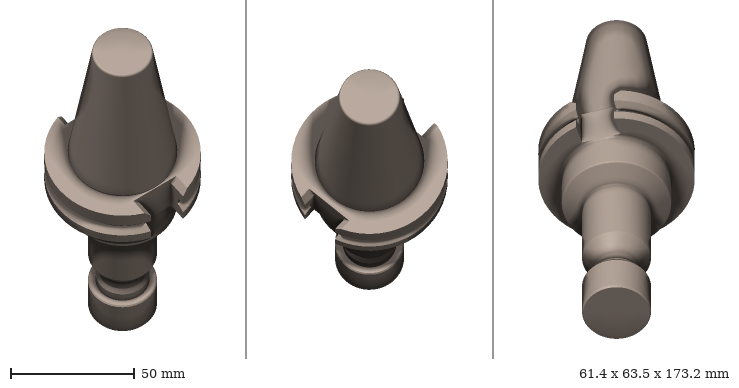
import cadquery as cq
import math

total_length = 173.25
gauge_line_z = 105.0
flange_bottom_z = 85.95
flange_top_z = 104.0

gauge_diameter = 44.45
taper_ratio = 7 / 24
taper_end_fillet = 1.0

flange_diameter = 63.5
neck_diameter = 43.85
flange_underside_fillet = 1.0
groove_center_z = 93.9
groove_mouth_width = 6.9
groove_wall_angle = 30.0
groove_root_width = 3.75
groove_root_diameter = 56.1

slot_width = 16.1
slot_chamfer = 2.7
left_slot_floor_x = 25.0
right_slot_floor_x = 22.3

body_diameter = 44.45
body_cone_bottom_z = 65.2
body_cone_angle = 30.0
body_cone_fillet = 1.0
shank_diameter = 28.0

relief_diameter = 19.5
relief_top_z = 27.75
relief_bottom_z = 24.0
relief_cone_angle = 30.0
relief_cone_fillet = 1.0
collar_diameter = 22.0
collar_top_z = 21.75
nut_diameter = 28.0
nut_height = 17.5
nut_chamfer_width = 0.5
nut_bottom_chamfer_height = 0.9
nut_top_chamfer_height = 0.5


def fillet_ring(solid, ring_radius, ring_z, fillet_radius):
    """Round the circular edge of the given radius and height."""
    margin = 0.01
    reach = ring_radius + margin
    ring = cq.selectors.BoxSelector(
        (-reach, -reach, ring_z - margin),
        (reach, reach, ring_z + margin),
        boundingbox=True,
    )
    return solid.edges(ring).fillet(fillet_radius)


def revolved_blank():
    """Whole turned shape, from its half profile in the XZ plane."""
    taper_end_radius = (gauge_diameter - taper_ratio * (total_length - gauge_line_z)) / 2

    flange_radius = flange_diameter / 2
    neck_radius = neck_diameter / 2
    groove_root_radius = groove_root_diameter / 2
    groove_root_half = groove_root_width / 2
    groove_mouth_half = groove_mouth_width / 2
    groove_step_radius = flange_radius - (
        (groove_mouth_half - groove_root_half) / math.tan(math.radians(groove_wall_angle))
    )

    body_radius = body_diameter / 2
    shank_radius = shank_diameter / 2
    relief_radius = relief_diameter / 2
    shank_bottom_z = relief_top_z + (
        (shank_radius - relief_radius) / math.tan(math.radians(relief_cone_angle))
    )
    body_bottom_z = body_cone_bottom_z + (
        (body_radius - shank_radius) * math.tan(math.radians(body_cone_angle))
    )
    nut_radius = nut_diameter / 2

    neck_bevel = (gauge_diameter - neck_diameter) / 2

    profile = [
        (0, 0),
        (nut_radius - nut_chamfer_width, 0),
        (nut_radius, nut_bottom_chamfer_height),
        (nut_radius, nut_height - nut_top_chamfer_height),
        (nut_radius - nut_chamfer_width, nut_height),
        (collar_diameter / 2, nut_height),
        (collar_diameter / 2, collar_top_z),
        (relief_radius, relief_bottom_z),
        (relief_radius, relief_top_z),
        (shank_radius, shank_bottom_z),
        (shank_radius, body_cone_bottom_z),
        (body_radius, body_bottom_z),
        (body_radius, flange_bottom_z),
        (flange_radius, flange_bottom_z),
        (flange_radius, groove_center_z - groove_mouth_half),
        (groove_step_radius, groove_center_z - groove_root_half),
        (groove_root_radius, groove_center_z - groove_root_half),
        (groove_root_radius, groove_center_z + groove_root_half),
        (groove_step_radius, groove_center_z + groove_root_half),
        (flange_radius, groove_center_z + groove_mouth_half),
        (flange_radius, flange_top_z),
        (neck_radius, flange_top_z),
        (neck_radius, gauge_line_z - neck_bevel),
        (gauge_diameter / 2, gauge_line_z),
        (taper_end_radius, total_length),
        (0, total_length),
    ]
    blank = cq.Workplane("XZ").polyline(profile).close().revolve(360, (0, 0, 0), (0, 1, 0))

    blank = fillet_ring(blank, shank_radius, shank_bottom_z, relief_cone_fillet)
    blank = fillet_ring(blank, relief_radius, relief_top_z, relief_cone_fillet)
    blank = fillet_ring(blank, shank_radius, body_cone_bottom_z, body_cone_fillet)
    blank = fillet_ring(blank, body_radius, body_bottom_z, body_cone_fillet)
    blank = fillet_ring(blank, body_radius, flange_bottom_z, flange_underside_fillet)
    return fillet_ring(blank, taper_end_radius, total_length, taper_end_fillet)


def drive_slot(floor_x, side):
    """Cutter for one drive slot; side is +1 for +X and -1 for -X."""
    half_width = slot_width / 2
    slot_bottom_z = flange_bottom_z - flange_underside_fillet
    chamfered_half_width = half_width + slot_chamfer
    outline = [
        (-half_width, slot_bottom_z),
        (half_width, slot_bottom_z),
        (half_width, flange_top_z - slot_chamfer),
        (chamfered_half_width, flange_top_z),
        (-chamfered_half_width, flange_top_z),
        (-half_width, flange_top_z - slot_chamfer),
    ]
    return (
        cq.Workplane("YZ", origin=(side * floor_x, 0, 0))
        .polyline(outline)
        .close()
        .extrude(side * flange_diameter / 2)
    )


result = (
    revolved_blank()
    .cut(drive_slot(left_slot_floor_x, -1))
    .cut(drive_slot(right_slot_floor_x, 1))
)